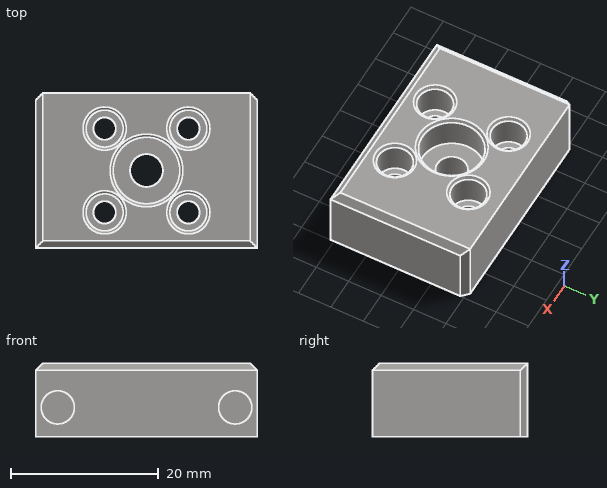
import cadquery as cq
import math

length = 30.0
width = 21.0
height = 10.0
edge_chamfer = 1.0

center_bore_diameter = 4.4
center_recess_diameter = 9.0
center_recess_depth = 5.0

screw_hole_diameter = 3.0
screw_recess_diameter = 5.0
screw_recess_depth = 5.0
bolt_circle_radius = 8.0
screw_count = 4
first_screw_angle = 45.0

mouth_chamfer = 0.42

pin_diameter = 4.5
pin_spacing = 24.0
pin_height = 4.0
pin_depth = 9.0


def make_block():
    """Block bevelled at the rear corners and on all top edges but the rear one."""
    block = cq.Workplane("XY").box(length, width, height, centered=(True, True, False))
    block = block.faces(">Y").edges("|Z").chamfer(edge_chamfer)
    bevelled_edges = block.faces(">Z").edges("<X or >X or <Y")
    return bevelled_edges.chamfer(edge_chamfer)


def stepped_hole_cutter(x, y, bore_diameter, recess_diameter, recess_depth):
    """Through bore with a bevelled recess opening in the top face."""
    recess_radius = recess_diameter / 2
    bore = cq.Workplane("XY").center(x, y).circle(bore_diameter / 2).extrude(height)
    recess = (
        cq.Workplane("XY", origin=(x, y, height))
        .circle(recess_radius)
        .extrude(-recess_depth)
    )
    mouth = cq.Workplane(
        cq.Solid.makeCone(
            recess_radius,
            recess_radius + mouth_chamfer,
            mouth_chamfer,
            pnt=cq.Vector(x, y, height - mouth_chamfer),
        )
    )
    return bore.union(recess).union(mouth)


def pin_hole_cutter(x):
    """Flat-bottomed hole running in +Y from the -Y face."""
    return (
        cq.Workplane("XZ", origin=(x, -width / 2, pin_height))
        .circle(pin_diameter / 2)
        .extrude(-pin_depth)
    )


result = make_block()

result = result.cut(
    stepped_hole_cutter(0, 0, center_bore_diameter, center_recess_diameter, center_recess_depth)
)

for i in range(screw_count):
    angle = math.radians(first_screw_angle + i * 360 / screw_count)
    screw_x = bolt_circle_radius * math.cos(angle)
    screw_y = bolt_circle_radius * math.sin(angle)
    result = result.cut(
        stepped_hole_cutter(
            screw_x, screw_y, screw_hole_diameter, screw_recess_diameter, screw_recess_depth
        )
    )

for pin_x in (-pin_spacing / 2, pin_spacing / 2):
    result = result.cut(pin_hole_cutter(pin_x))